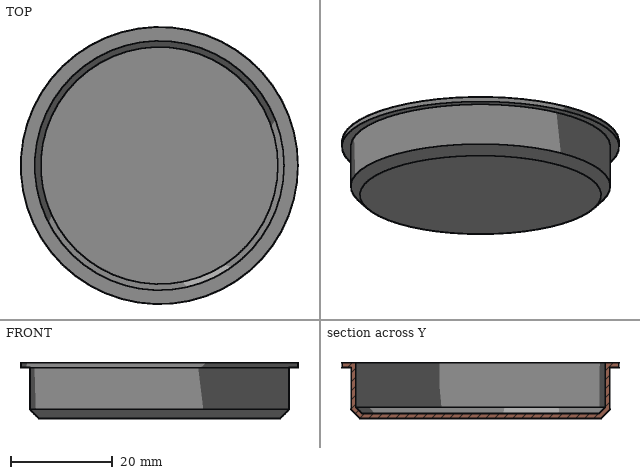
import cadquery as cq
import math

flange_diameter = 54.5
body_diameter = 51.0
bore_diameter = 49.0
total_height = 11.0
flange_thickness = 1.0
outer_chamfer = 1.8

wall = (body_diameter - bore_diameter) / 2
inner_chamfer = outer_chamfer - wall * (2 - math.sqrt(2))


def chamfered_disc(diameter, bottom, top, chamfer):
    """Upright disc with its bottom edge chamfered at 45 degrees."""
    disc = cq.Workplane("XY").workplane(offset=bottom).circle(diameter / 2).extrude(top - bottom)
    return disc.faces("<Z").edges().chamfer(chamfer)


body = chamfered_disc(body_diameter, 0, total_height, outer_chamfer)
flange = (
    cq.Workplane("XY")
    .workplane(offset=total_height - flange_thickness)
    .circle(flange_diameter / 2)
    .extrude(flange_thickness)
)
cavity = chamfered_disc(bore_diameter, wall, total_height, inner_chamfer)

result = body.union(flange).cut(cavity)